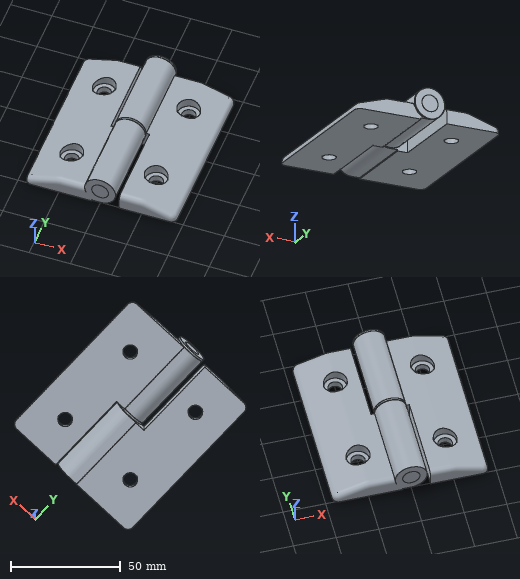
import cadquery as cq

width = 73.0
length = 81.1
height = 15.6

knuckle_radius = 7.5
axis_z = height - knuckle_radius
pin_diameter = 8.1
washer_thickness = 1.0
running_gap = 0.2

leaf_length = length - washer_thickness - running_gap
leaf_thickness = axis_z
half_width = width / 2
outer_edge_height = 3.1
bend_x = 20.4
bend_radius = 10.0
edge_radius = 3.0
relief_half_width = 4.05
relief_height = axis_z - knuckle_radius
bay_half_width = 9.1

screw_diameter = 6.6
counterbore_diameter = 10.9
counterbore_floor_z = 3.5
screw_spacing = 43.2

front_y = -length / 2
leaf_mid_y = front_y + leaf_length / 2
joint_length = washer_thickness + running_gap
knuckle_length = (leaf_length + running_gap - joint_length) / 2
knuckle_end_y = front_y + knuckle_length
middle_washer_y = knuckle_end_y + running_gap
end_washer_y = length / 2 - washer_thickness
hinge_mid_y = knuckle_end_y + joint_length / 2


def rod(diameter, start_y, rod_length):
    """Cylinder on the hinge axis, running toward +Y from start_y."""
    plane = cq.Plane(origin=(0, start_y, axis_z), xDir=(1, 0, 0), normal=(0, 1, 0))
    return cq.Workplane(plane).circle(diameter / 2).extrude(rod_length)


def make_plate():
    """Sloped plate on the -X side, with its bend, outer corners and upper rim rounded."""
    profile = [
        (-half_width, 0),
        (-relief_half_width, 0),
        (-relief_half_width, relief_height),
        (0, relief_height),
        (0, leaf_thickness),
        (-bend_x, leaf_thickness),
        (-half_width, outer_edge_height),
    ]
    plane = cq.Plane(origin=(0, front_y, 0), xDir=(1, 0, 0), normal=(0, -1, 0))
    plate = cq.Workplane(plane).polyline(profile).close().extrude(-leaf_length)

    bend_line = cq.selectors.NearestToPointSelector((-bend_x, leaf_mid_y, leaf_thickness))
    plate = plate.edges(bend_line).fillet(bend_radius)
    plate = plate.faces("<X").edges("|Z").fillet(edge_radius)
    outer_rim = cq.selectors.NearestToPointSelector((-half_width, leaf_mid_y, outer_edge_height))
    return plate.edges(outer_rim).fillet(edge_radius)


def make_leaf():
    """Leaf on the -X side, with its knuckle at the front and a bay for the other knuckle."""
    bay_length = leaf_length - knuckle_length
    bay = cq.Workplane("XY").box(bay_half_width, bay_length, height, centered=False)
    bay = bay.translate((-bay_half_width, knuckle_end_y, 0))
    leaf = make_plate().cut(bay)
    leaf = leaf.union(rod(2 * knuckle_radius, front_y, knuckle_length))
    leaf = leaf.cut(rod(pin_diameter, front_y, length))

    screw_points = [(-bend_x, leaf_mid_y + side * screw_spacing / 2) for side in (-1, 1)]
    screws = cq.Workplane("XY").pushPoints(screw_points).circle(screw_diameter / 2).extrude(height)
    heads = cq.Workplane("XY").workplane(offset=counterbore_floor_z).pushPoints(screw_points)
    heads = heads.circle(counterbore_diameter / 2).extrude(height)
    return leaf.cut(screws).cut(heads)


def make_washer(start_y):
    """Ring around the pin, as large as the knuckles."""
    washer = rod(2 * knuckle_radius, start_y, washer_thickness)
    return washer.cut(rod(pin_diameter, start_y, washer_thickness))


left_leaf = make_leaf()
right_leaf = left_leaf.rotate((0, hinge_mid_y, 0), (0, hinge_mid_y, 1), 180)

pin = rod(pin_diameter, front_y, length)
washers = [make_washer(start_y) for start_y in (middle_washer_y, end_washer_y)]

result = cq.Compound.makeCompound(
    [left_leaf.val(), right_leaf.val(), pin.val(), *[washer.val() for washer in washers]]
)